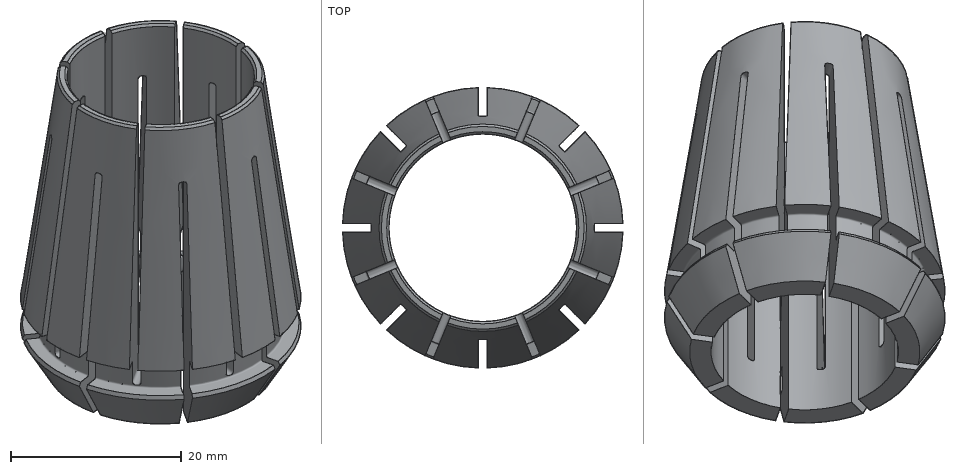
import cadquery as cq
import math

length = 40.0
max_diameter = 32.95
bore_diameter = 22.0

flange_edge_height = 5.1
flange_top_height = 5.6
groove_top_height = 9.1
groove_diameter = 29.2

nose_angle = 30.0
body_angle = 8.0

flange_bevel = 0.25
end_chamfer = 0.3
groove_fillet = 0.2

slot_width = 1.0
slot_corner_radius = 0.4
slots_per_set = 8
nose_slot_end = 33.05
body_slot_end = 5.9

max_radius = max_diameter / 2
bore_radius = bore_diameter / 2
groove_radius = groove_diameter / 2
cutter_reach = max_diameter
slot_pitch = 360.0 / slots_per_set
nose_radius = max_radius - flange_edge_height * math.tan(math.radians(nose_angle))
body_slope = math.tan(math.radians(body_angle))
chamfer_base = length - end_chamfer


def body_radius(z):
    """Outer radius of the tapered body at height z."""
    return max_radius - (z - groove_top_height) * body_slope


def make_sleeve():
    """Revolve the sleeve: nose cone, tapered body and chamfered end, without the groove."""
    profile = [
        (bore_radius, 0),
        (nose_radius, 0),
        (max_radius, flange_edge_height),
        (max_radius - flange_bevel, flange_top_height),
        (max_radius, groove_top_height),
        (body_radius(chamfer_base), chamfer_base),
        (body_radius(chamfer_base) - end_chamfer, length),
        (bore_radius + end_chamfer, length),
        (bore_radius, chamfer_base),
    ]
    return cq.Workplane("XZ").polyline(profile).close().revolve(360, (0, 0), (0, 1))


def make_groove():
    """Ring cutter for the extraction groove, rounded where its floor meets the walls."""
    groove_height = groove_top_height - flange_top_height
    ring = (
        cq.Workplane("XY")
        .workplane(offset=flange_top_height)
        .circle(cutter_reach)
        .circle(groove_radius)
        .extrude(groove_height)
    )
    floor_edges = cq.selectors.RadiusNthSelector(0)
    return ring.edges("%CIRCLE").edges(floor_edges).fillet(groove_fillet)


def make_slot(open_z, closed_z, angle):
    """Radial slot cutter from an open end to a closed end with rounded corners, turned about Z."""
    slot = (
        cq.Workplane("XY")
        .box(cutter_reach, slot_width, abs(open_z - closed_z), centered=(False, True, False))
        .translate((0, 0, min(open_z, closed_z)))
    )
    closed_side = ">Z" if closed_z > open_z else "<Z"
    slot = slot.faces(closed_side).edges("|X").fillet(slot_corner_radius)
    return slot.rotate((0, 0, 0), (0, 0, 1), angle)


result = make_sleeve().cut(make_groove())
for i in range(slots_per_set):
    nose_slot_angle = i * slot_pitch
    body_slot_angle = nose_slot_angle + slot_pitch / 2
    result = result.cut(make_slot(0, nose_slot_end, nose_slot_angle))
    result = result.cut(make_slot(length, body_slot_end, body_slot_angle))